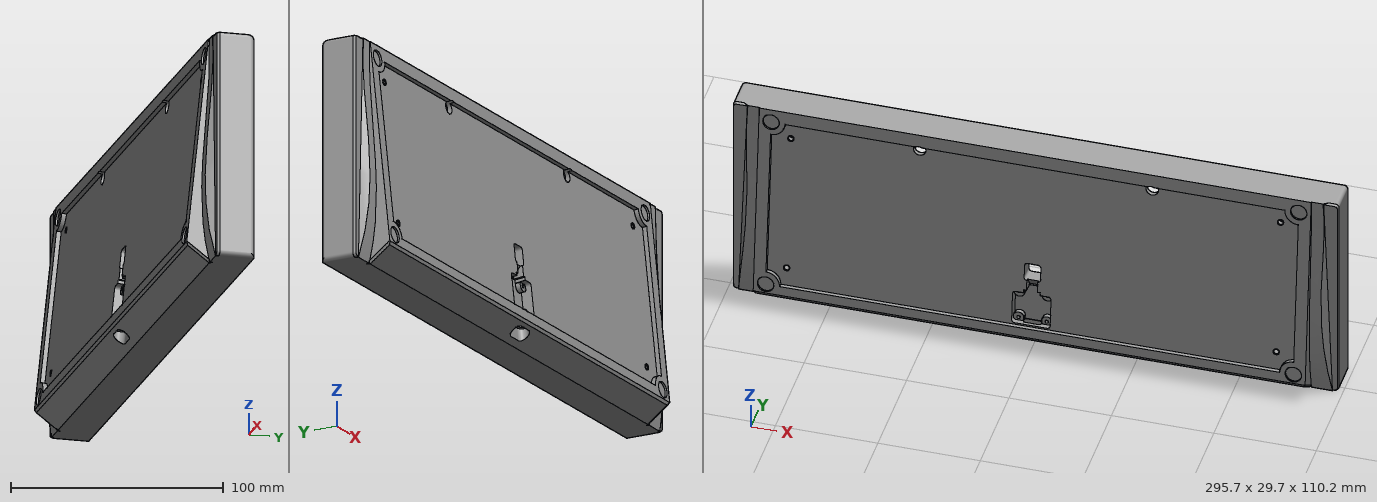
import cadquery as cq
import math


width = 295.7
height = 110.2
body_depth = 18.5
total_depth = 29.66
side_edge_radius = 2.0
front_rim_radius = 3.0
base_chamfer_depth = 0.5
base_chamfer_inset = 1.4

wall = 5.0
tray_depth = 15.5

tilt = math.radians(6)
wedge_width = 269.4
wedge_rear_z = 8.4
rear_side_chamfer = 1.0
wedge_tip_chamfer = 1.0
wedge_tip_depth = total_depth + wedge_tip_chamfer * math.sin(tilt)

wing_peak_depth = 22.4
wing_peak_z = 38.0
wing_top_depth = 18.7
wing_shoulder_depth = 20.9
wing_shoulder_z = 64.0
wing_inset_rear = 2.9
wing_inset_front = 7.2
wing_lean_rear = 0.3
wing_lean_front = 1.4

panel_recess = 2.3
panel_width = 257.6
panel_low_z = 14.2
panel_high_z = 103.5
foot_diameter = 8.0
foot_recess = 1.0
foot_land_radius = 6.8

access_hole_diameter = 6.0
access_hole_spacing = 113.5
access_hole_z = 100.9
screw_hole_diameter = 2.46
screw_sink_diameter = 3.0
screw_sink_depth = 0.5
screw_hole_depth = 5.0
screw_spacing = 239.0
screw_hole_z = (23.5, 94.8)

pocket_width = 18.8
pocket_low_z = 15.0
pocket_high_z = 32.2
pocket_corner_radius = 1.5
pocket_depth = 5.5
neck_depth = 1.0
boss_radius = 2.7
boss_drop = 3.0
boss_side_inset = 2.5
boss_low_inset = 1.6
boss_high_inset = 1.4
boss_hole_diameter = 1.57
boss_hole_depth = 2.0
tab_width = 8.0
tab_height = 1.6
neck_width = 5.3
window_width = 8.0
window_low_z = 39.3
window_high_z = 48.6
window_corner_radius = 1.5

port_width = 13.0
port_height = 6.0
port_depth = 24.4
port_face_z = 4.1
port_floor_z = 9.0
plug_width = 9.0
plug_height = 3.2

across_slope = cq.ParallelDirSelector(cq.Vector(0, -math.cos(tilt), math.sin(tilt)))


def tilted_depth(z):
    """Depth of the tilted face at height z."""
    return wedge_tip_depth - (z - wedge_rear_z) * math.tan(tilt)


def side_profile(points):
    """Start a profile in the YZ plane from (depth, z) points."""
    return cq.Workplane("YZ").polyline([(-depth, z) for depth, z in points]).close()


def tilted_plane(below):
    """Workplane parallel to the tilted face, `below` it, with local y = 0 at the height Z = 0.

    Local x is X, local y climbs the slope and the normal points out of the part.
    """
    normal = cq.Vector(0, -math.cos(tilt), math.sin(tilt))
    face_point = cq.Vector(0, -tilted_depth(0), 0)
    return cq.Workplane(cq.Plane(face_point - normal * below, (1, 0, 0), normal))


def along_slope(z):
    """Local y on a tilted plane for a point of the tilted face at height z."""
    return z / math.cos(tilt)


def slope_box(box_width, low_z, high_z, top, bottom):
    """Block centred on X = 0 between two depths below the tilted face."""
    low = along_slope(low_z)
    high = along_slope(high_z)
    return (
        tilted_plane(bottom)
        .center(0, (low + high) / 2)
        .rect(box_width, high - low)
        .extrude(bottom - top)
    )


def slope_cylinders(points, diameter, top, bottom):
    """Cylinders normal to the tilted face at (x, z) points."""
    places = [(x, along_slope(z)) for x, z in points]
    return tilted_plane(bottom).pushPoints(places).circle(diameter / 2).extrude(bottom - top)


def make_body():
    body = cq.Workplane("XY").box(width, body_depth, height, centered=(True, False, False))
    body = body.translate((0, -body_depth, 0))
    body = body.edges(">Y and >Z").fillet(front_rim_radius)
    side_edges = body.edges("<X or >X").edges("not <Y")
    body = side_edges.fillet(side_edge_radius)
    return body.faces("<Y").edges().chamfer(base_chamfer_depth, base_chamfer_inset)


def make_wedge():
    profile = side_profile(
        [
            (tray_depth, 0),
            (body_depth, 0),
            (wedge_tip_depth, wedge_rear_z),
            (tilted_depth(height), height),
            (tray_depth, height),
        ]
    )
    wedge = profile.extrude(wedge_width / 2, both=True)
    tip = (0, -wedge_tip_depth, wedge_rear_z)
    wedge = wedge.edges(cq.NearestToPointSelector(tip)).chamfer(wedge_tip_chamfer)
    rear_mid = (0, -(body_depth + total_depth) / 2, wedge_rear_z / 2)
    return wedge.faces(cq.NearestToPointSelector(rear_mid)).edges("<X or >X").chamfer(rear_side_chamfer)


def make_wings():
    profile = (
        cq.Workplane("YZ")
        .moveTo(0, 0)
        .lineTo(-body_depth, 0)
        .spline(
            [
                (-wing_peak_depth, wing_peak_z),
                (-wing_shoulder_depth, wing_shoulder_z),
                (-wing_top_depth, height),
            ],
            includeCurrent=True,
        )
        .lineTo(0, height)
        .close()
        .extrude(width / 2, both=True)
    )

    def section(inset, lean_rate):
        outer = width / 2 - inset
        lean = lean_rate * body_depth
        tip = lean_rate * (total_depth - body_depth)
        return [
            (-outer - lean, 0),
            (outer + lean, 0),
            (outer - tip, -total_depth),
            (-outer + tip, -total_depth),
        ]

    sides = (
        cq.Workplane("XY")
        .polyline(section(wing_inset_rear, wing_lean_rear))
        .close()
        .workplane(offset=height)
        .polyline(section(wing_inset_front, wing_lean_front))
        .close()
        .loft(ruled=True)
    )
    front_only = cq.Workplane("XY").box(width, total_depth, height, centered=(True, False, False))
    front_only = front_only.translate((0, -total_depth - tray_depth, 0))
    between = cq.Workplane("XY").box(wedge_width, total_depth, height, centered=(True, False, False))
    between = between.translate((0, -total_depth, 0))
    return profile.intersect(sides).intersect(front_only).cut(between)


def make_tray():
    return (
        cq.Workplane("XY")
        .box(width - 2 * wall, tray_depth, height - 2 * wall, centered=(True, False, False))
        .translate((0, -tray_depth, wall))
    )


def corner_points(spacing, heights):
    return [(side * spacing / 2, z) for side in (-1, 1) for z in heights]


def make_panel_recess():
    recess = slope_box(panel_width, panel_low_z, panel_high_z, 0, panel_recess)
    corners = corner_points(panel_width, (panel_low_z, panel_high_z))
    lands = slope_cylinders(corners, 2 * foot_land_radius, 0, panel_recess)
    feet = slope_cylinders(corners, foot_diameter, 0, foot_recess)
    return recess.cut(lands).union(feet)


def make_panel_holes():
    access_points = corner_points(access_hole_spacing, (access_hole_z,))
    access = slope_cylinders(access_points, access_hole_diameter, 0, total_depth)
    screw_points = corner_points(screw_spacing, screw_hole_z)
    screws = slope_cylinders(screw_points, screw_hole_diameter, 0, panel_recess + screw_hole_depth)
    sinks = slope_cylinders(screw_points, screw_sink_diameter, 0, panel_recess + screw_sink_depth)
    return access.union(screws).union(sinks)


def make_neck(ramp_low_z, floor):
    """Cable ramp that falls from the window edge to the pocket floor and runs on into the pocket."""
    neck = side_profile(
        [
            (tilted_depth(pocket_high_z), pocket_high_z),
            (tilted_depth(pocket_high_z) - floor, pocket_high_z),
            (tilted_depth(ramp_low_z) - floor, ramp_low_z),
            (tilted_depth(window_low_z) - panel_recess - neck_depth, window_low_z),
            (tilted_depth(window_low_z), window_low_z),
        ]
    )
    return neck.extrude(neck_width / 2, both=True)


def make_pocket():
    floor = panel_recess + pocket_depth
    tab_top_z = pocket_high_z + tab_height
    pocket = slope_box(pocket_width, pocket_low_z, pocket_high_z, 0, floor)
    pocket = pocket.edges(across_slope).fillet(pocket_corner_radius)
    boss_points = corner_points(
        pocket_width - 2 * boss_side_inset,
        (pocket_low_z + boss_low_inset, pocket_high_z - boss_high_inset),
    )
    boss_top = panel_recess + boss_drop
    bosses = slope_cylinders(boss_points, 2 * boss_radius, boss_top, floor)
    boss_holes = slope_cylinders(boss_points, boss_hole_diameter, boss_top, boss_top + boss_hole_depth)
    tab = slope_box(tab_width, pocket_high_z, tab_top_z, 0, floor)
    window = slope_box(window_width, window_low_z, window_high_z, 0, total_depth)
    window = window.edges(across_slope).fillet(window_corner_radius)
    neck = make_neck(tab_top_z, floor)
    return pocket.cut(bosses).union(boss_holes).union(tab).union(neck).union(window)


def make_port_slot(slot_width, slot_height, top_z):
    """Rounded slot running up parallel to the tilted face, from below the rear wall to top_z."""
    up_slope = cq.Vector(0, math.sin(tilt), math.cos(tilt))
    start = cq.Vector(0, -port_depth, port_face_z) - up_slope * wedge_rear_z
    plane = cq.Plane(start, (1, 0, 0), up_slope)
    length = wedge_rear_z + along_slope(top_z - port_face_z)
    return cq.Workplane(plane).slot2D(slot_width, slot_height).extrude(length)


def make_port():
    clearance = make_port_slot(port_width, port_height, port_floor_z)
    plug_opening = make_port_slot(plug_width, plug_height, pocket_low_z + pocket_corner_radius)
    return clearance.union(plug_opening)


case = make_body().union(make_wedge()).union(make_wings())
for cutter in (make_tray(), make_panel_recess(), make_panel_holes(), make_pocket(), make_port()):
    case = case.cut(cutter)
result = case